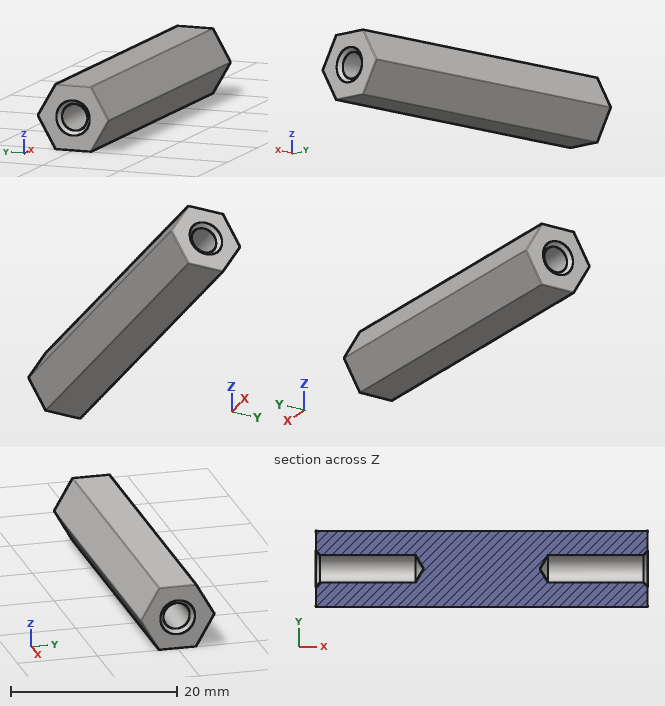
import cadquery as cq
import math

length = 40.0
across_flats = 8.0
hole_diameter = 3.3
countersink_diameter = 4.3
countersink_angle = 90.0
hole_depth = 12.0
drill_point_angle = 118.0

edge_radius = 0.1

across_corners = across_flats / math.cos(math.radians(30))


def drilled_hole():
    """Cutter entering at X = 0 along +X: countersink, bore and drill point."""
    bore_radius = hole_diameter / 2
    mouth_radius = countersink_diameter / 2
    countersink_depth = (mouth_radius - bore_radius) / math.tan(math.radians(countersink_angle / 2))
    point_depth = bore_radius / math.tan(math.radians(drill_point_angle / 2))
    profile = [
        (0, 0),
        (0, mouth_radius),
        (countersink_depth, bore_radius),
        (hole_depth, bore_radius),
        (hole_depth + point_depth, 0),
    ]
    return cq.Workplane("XY").polyline(profile).close().revolve(360, (0, 0, 0), (1, 0, 0))


body = cq.Workplane("YZ").polygon(6, across_corners).extrude(length / 2, both=True)
body = body.edges().fillet(edge_radius)

left_hole = drilled_hole().translate((-length / 2, 0, 0))
right_hole = left_hole.mirror("YZ")

result = body.cut(left_hole).cut(right_hole)